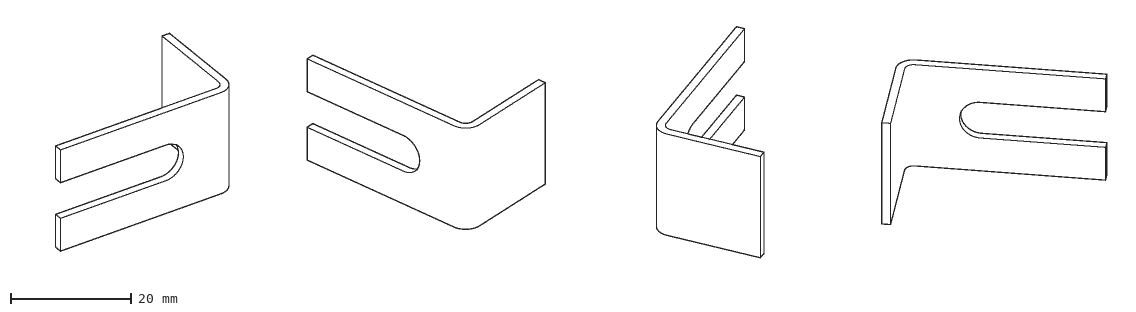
import cadquery as cq

long_leg = 35.0
short_leg = 20.0
height = 20.0
thickness = 1.5
inner_radius = 1.5
slot_width = 7.0
slot_depth = 24.5

outer_radius = inner_radius + thickness
slot_radius = slot_width / 2


def bent_strip():
    """L-shaped strip, with its outer corner at maximum X and maximum Y."""
    blank = cq.Workplane("XY").rect(short_leg, long_leg, centered=False).extrude(height)
    blank = blank.edges("|Z and >X and >Y").fillet(outer_radius)
    inside = (
        cq.Workplane("XY")
        .rect(short_leg - thickness, long_leg - thickness, centered=False)
        .extrude(height)
        .edges("|Z and >X and >Y")
        .fillet(inner_radius)
    )
    return blank.cut(inside)


def open_slot():
    """Round-ended slot through the long leg, open at its free end."""
    straight_end = slot_depth - slot_radius
    return (
        cq.Workplane("YZ", origin=(short_leg - thickness, 0, height / 2))
        .moveTo(0, -slot_radius)
        .lineTo(straight_end, -slot_radius)
        .threePointArc((slot_depth, 0), (straight_end, slot_radius))
        .lineTo(0, slot_radius)
        .close()
        .extrude(thickness)
    )


result = bent_strip().cut(open_slot())